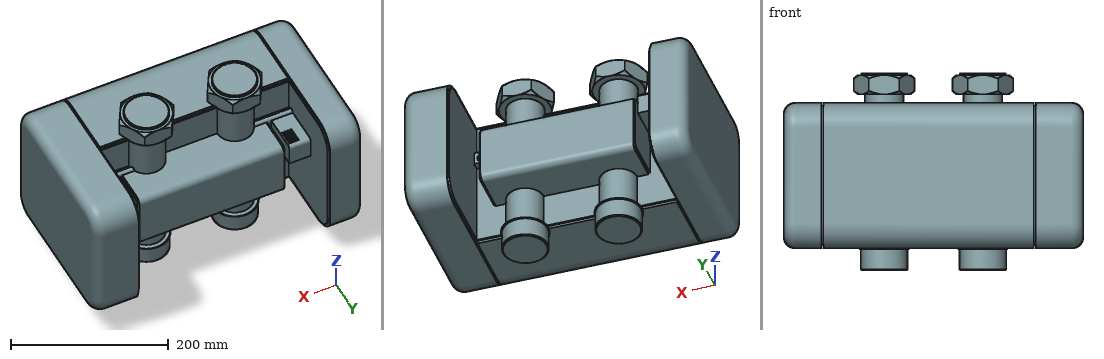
import cadquery as cq
import math

LENGTH = 380.0
DEPTH = 225.0
HEIGHT = 184.5
CORNER_RADIUS = 30.5
END_RADIUS = 15.2
JOINT_GAP = 2.47
GAP_DEPTH = 3.8
LEFT_CAP_WIDTH = 50.5
RIGHT_CAP_WIDTH = 62.7
TOP = HEIGHT / 2
WALL_START = -LENGTH / 2 + LEFT_CAP_WIDTH
WALL_END = LENGTH / 2 - RIGHT_CAP_WIDTH

PIPE_SPACING = 125.0
PIPE_DIAMETER = 49.5
PIPE_XS = (-PIPE_SPACING / 2, PIPE_SPACING / 2)
NUT_ACROSS_FLATS = 67.0
NUT_CORNER_DIAMETER = NUT_ACROSS_FLATS / math.cos(math.pi / 6)
NUT_CLEARANCE = 10.5
NUT_HEIGHT = 24.5
NUT_CHAMFER_ANGLE = 40.0
SEAT_DIAMETER = 58.5
SEAT_HEIGHT = 2.5
SEAT_CHAMFER = 1.0
SOCKET_DIAMETER = 59.5
SOCKET_LENGTH = 27.7
SOCKET_CHAMFER = 1.5
COLLAR_DIAMETER = 62.0
COLLAR_HEIGHT = 1.0

BOX_LENGTH = 204.5
BOX_DEPTH = 60.8
BOX_HEIGHT = 81.5
BOX_RADIUS = 8.7
BOX_LIP = 2.3
BOX_TOP = BOX_HEIGHT / 2

RAIL_Y = 7.2
RAIL_RADIUS = 3.8
WEB_HEIGHT = 15.2

CONNECTOR_LENGTH = 30.5
CONNECTOR_REAR = 62.5
CONNECTOR_HEIGHT = 30.5
CONNECTOR_RADIUS = 5.0
SLOT_COUNT = 4
SLOT_PITCH = 3.8
SLOT_WIDTH = 2.0
SLOT_LENGTH = 20.5
SLOT_DEPTH = 7.5
SLOT_REAR = 56.0
FIRST_SLOT_OFFSET = 15.2

PLUG_RADIUS = 6.5
PLUG_TIP_RADIUS = 5.0
PLUG_END = 120.0
PLUG_TIP_LENGTH = 2.3
PLUG_DROP = 7.5


def block(x0, x1, y0, y1, z0, z1):
    """Box between two opposite corners."""
    return cq.Workplane("XY").box(x1 - x0, y1 - y0, z1 - z0, centered=False).translate((x0, y0, z0))


def shell_bar(x0, x1, inset=0.0):
    """Length of the rounded shell section, shrunk all round by the inset."""
    depth = DEPTH - 2 * inset
    height = HEIGHT - 2 * inset
    bar = block(x0, x1, -depth / 2, depth / 2, -height / 2, height / 2)
    return bar.edges("|X").fillet(CORNER_RADIUS - inset)


def rod(radius, x0, x1, y, z):
    """Round bar along X."""
    return cq.Workplane("YZ", origin=(x0, y, z)).circle(radius).extrude(x1 - x0)


def post(diameter, z0, z1):
    """Round bar along Z on the pipe axis."""
    return cq.Workplane("XY", origin=(0, 0, z0)).circle(diameter / 2).extrude(z1 - z0)


def cut_pipe_channels(body):
    """Removes the space taken by both pipes over the shell height."""
    for x in PIPE_XS:
        body = body.cut(post(PIPE_DIAMETER, -TOP, TOP).translate((x, 0, 0)))
    return body


def make_housing():
    """Two end caps joined by a front wall, with a shadow gap at each joint and half-round pipe channels."""
    left_cap = shell_bar(-LENGTH / 2, WALL_START - JOINT_GAP).faces("<X").edges().fillet(END_RADIUS)
    right_cap = shell_bar(WALL_END + JOINT_GAP, LENGTH / 2).faces(">X").edges().fillet(END_RADIUS)

    front_half = block(WALL_START, WALL_END, -DEPTH, -JOINT_GAP, -HEIGHT, HEIGHT)
    front_wall = shell_bar(WALL_START, WALL_END).intersect(front_half)

    gap_floor = shell_bar(WALL_START - JOINT_GAP, WALL_END + JOINT_GAP, GAP_DEPTH)
    rear_opening = block(WALL_START, WALL_END, 0, DEPTH, -HEIGHT, HEIGHT)
    gap_floor = gap_floor.cut(rear_opening)

    housing = gap_floor.union(left_cap).union(right_cap).union(front_wall)
    return cut_pipe_channels(housing)


def make_nut():
    """Hexagon nut with conical chamfers at both ends and its underside at Z = 0."""
    flat_radius = NUT_ACROSS_FLATS / 2
    corner_radius = NUT_CORNER_DIAMETER / 2
    chamfer = (corner_radius - flat_radius) * math.tan(math.radians(NUT_CHAMFER_ANGLE))
    hexagon = cq.Workplane("XY").polygon(6, NUT_CORNER_DIAMETER).extrude(NUT_HEIGHT)
    envelope = (
        cq.Workplane("XZ")
        .moveTo(0, 0)
        .lineTo(flat_radius, 0)
        .lineTo(corner_radius, chamfer)
        .lineTo(corner_radius, NUT_HEIGHT - chamfer)
        .lineTo(flat_radius, NUT_HEIGHT)
        .lineTo(0, NUT_HEIGHT)
        .close()
        .revolve(360, (0, 0, 0), (0, 1, 0))
    )
    return hexagon.intersect(envelope)


def make_pipe():
    """Pipe with its nut on top and its socket below the shell."""
    nut_bottom = TOP + NUT_CLEARANCE
    nut_top = nut_bottom + NUT_HEIGHT
    seat = post(SEAT_DIAMETER, nut_top, nut_top + SEAT_HEIGHT).faces(">Z").chamfer(SEAT_CHAMFER)
    socket = post(SOCKET_DIAMETER, -TOP - SOCKET_LENGTH, -TOP).faces("<Z").chamfer(SOCKET_CHAMFER)
    collar = post(COLLAR_DIAMETER, -TOP - COLLAR_HEIGHT, -TOP)
    pipe = post(PIPE_DIAMETER, -TOP, nut_bottom)
    nut = make_nut().translate((0, 0, nut_bottom))
    return pipe.union(nut).union(seat).union(socket).union(collar)


def make_box():
    """Box with rounded rear edges and a slightly smaller lip at each end."""
    def rounded_bar(length, inset):
        half_height = BOX_TOP - inset
        bar = block(-length / 2, length / 2, 0, BOX_DEPTH - inset, -half_height, half_height)
        return bar.edges("|X and >Y").fillet(BOX_RADIUS - inset)

    return rounded_bar(BOX_LENGTH, 0).union(rounded_bar(BOX_LENGTH + 2 * BOX_LIP, BOX_LIP))


def make_rail(x0, x1):
    """Round rail along the top of a web; its axis is level with the top of the box."""
    web = block(x0, x1, 0, RAIL_Y + RAIL_RADIUS, BOX_TOP - WEB_HEIGHT, BOX_TOP)
    return web.union(rod(RAIL_RADIUS, x0, x1, RAIL_Y, BOX_TOP))


def make_connector():
    """Block with a rounded rear edge and a row of slots in its top."""
    end = WALL_START + CONNECTOR_LENGTH
    body = block(WALL_START, end, RAIL_Y, CONNECTOR_REAR, BOX_TOP - CONNECTOR_HEIGHT, BOX_TOP)
    body = body.edges("|X and >Y and >Z").fillet(CONNECTOR_RADIUS)
    for index in range(SLOT_COUNT):
        left = WALL_START + FIRST_SLOT_OFFSET + index * SLOT_PITCH - SLOT_WIDTH / 2
        slot = block(
            left, left + SLOT_WIDTH, SLOT_REAR - SLOT_LENGTH, SLOT_REAR, BOX_TOP - SLOT_DEPTH, BOX_TOP
        )
        body = body.cut(slot)
    return body


def make_plug():
    """Stepped round plug at the right end of the box."""
    start = BOX_LENGTH / 2
    z = BOX_TOP - PLUG_DROP
    tip = rod(PLUG_TIP_RADIUS, PLUG_END, PLUG_END + PLUG_TIP_LENGTH, RAIL_Y, z)
    return rod(PLUG_RADIUS, start, PLUG_END, RAIL_Y, z).union(tip)


def make_rear_unit():
    """Box with its rails, connector and plug, shaped to fit round the pipes."""
    unit = make_box()
    unit = unit.union(make_rail(WALL_START, PIPE_XS[0]))
    unit = unit.union(make_rail(PIPE_XS[1], WALL_END))
    unit = unit.union(make_connector()).union(make_plug())
    return cut_pipe_channels(unit)


housing = make_housing()
rear_unit = make_rear_unit()
pipes = [make_pipe().translate((x, 0, 0)) for x in PIPE_XS]

result = cq.Compound.makeCompound(
    [solid for body in (housing, rear_unit, *pipes) for solid in body.vals()]
)